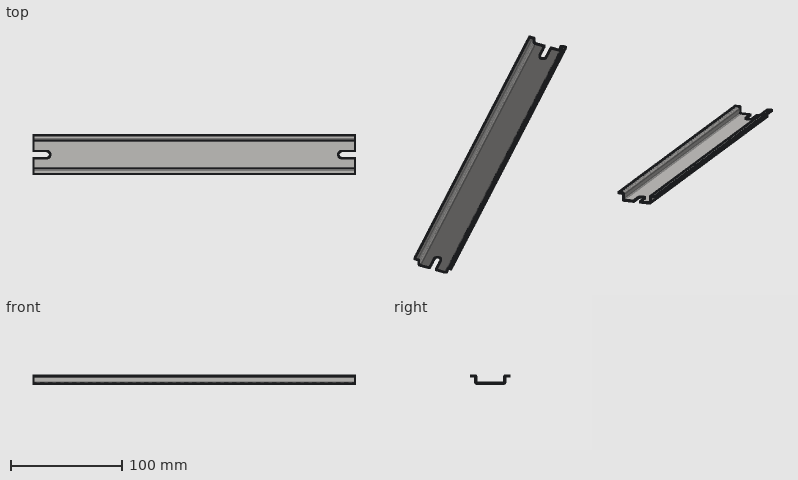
import cadquery as cq

length = 289.0
width = 35.0
height = 7.5
sheet = 1.0

channel_width = 27.0

inner_bend = 0.8
outer_bend = inner_bend + sheet

slot_width = 6.2
slot_depth = 15.0


def make_rail():
    """Bent sheet extruded along X: floor, two walls and two outward flanges."""
    half_flange = width / 2
    outer_wall = channel_width / 2
    inner_wall = outer_wall - sheet
    flange_bottom = height - sheet

    half_profile = (
        cq.Workplane("YZ")
        .moveTo(0, 0)
        .lineTo(outer_wall - outer_bend, 0)
        .radiusArc((outer_wall, outer_bend), -outer_bend)
        .lineTo(outer_wall, flange_bottom - inner_bend)
        .radiusArc((outer_wall + inner_bend, flange_bottom), inner_bend)
        .lineTo(half_flange, flange_bottom)
        .lineTo(half_flange, height)
        .lineTo(inner_wall + outer_bend, height)
        .radiusArc((inner_wall, height - outer_bend), -outer_bend)
        .lineTo(inner_wall, sheet + inner_bend)
        .radiusArc((inner_wall - inner_bend, sheet), inner_bend)
        .lineTo(0, sheet)
        .close()
    )
    half_rail = half_profile.extrude(length / 2, both=True)
    return half_rail.union(half_rail.mirror("XZ")).clean()


def end_slot(end):
    """Slot cutter reaching in from the rail end at -X (end = -1) or +X (end = 1)."""
    return (
        cq.Workplane("XY")
        .center(end * length / 2, 0)
        .slot2D(2 * slot_depth, slot_width)
        .extrude(height)
    )


result = make_rail()
for end in (-1, 1):
    result = result.cut(end_slot(end))